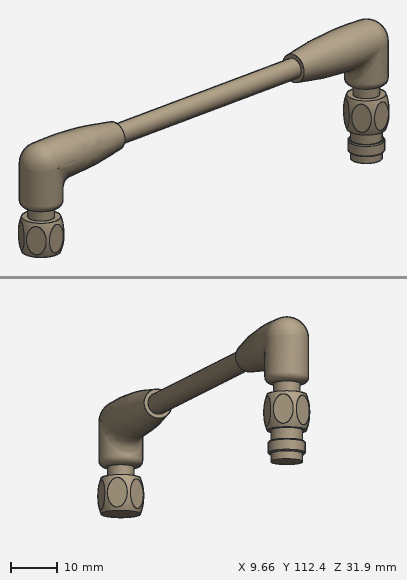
import cadquery as cq
import math


overall_length = 112.43
overall_height = 31.85

elbow_radius = 9.5 / 2
elbow_bottom_z = -9.85
elbow_bottom_fillet = 1.5
inner_corner_fillet = 2.8
sleeve_length = 23.0
sleeve_peak_radius = 9.66 / 2
sleeve_end_radius = 3.2
sleeve_peak_offset = 4.9
crease_clearance = 0.3

cable_radius = 4.6 / 2
neck_radius = 5.8 / 2

nut_top_z = -12.25
nut_height = 7.9
nut_across_flats = 9.0
nut_crown_radius = 5.0
nut_end_radius = 4.25

spigot_radius = 6.9 / 2
ring_radius = 8.0 / 2
ring_top_z = -22.6
ring_height = 2.7
ring_chamfer = 0.25

plug_y = overall_length / 2 - nut_crown_radius
nut_bottom_z = nut_top_z - nut_height
plug_bottom_z = sleeve_peak_radius - overall_height


def vertical_cylinder(radius, bottom_z, top_z):
    """Cylinder on the Z axis between two heights."""
    return cq.Workplane("XY").workplane(offset=bottom_z).circle(radius).extrude(top_z - bottom_z)


def sleeve():
    """Barrel-shaped strain relief along +Y, starting at the elbow centre."""
    taper_length = sleeve_length - sleeve_peak_offset
    taper_drop = sleeve_peak_radius - sleeve_end_radius
    crown = (taper_length**2 + taper_drop**2) / (2 * taper_drop)
    start_drop = crown - math.sqrt(crown**2 - sleeve_peak_offset**2)
    return (
        cq.Workplane("XY")
        .lineTo(sleeve_peak_radius - start_drop, 0)
        .threePointArc((sleeve_peak_radius, sleeve_peak_offset), (sleeve_end_radius, sleeve_length))
        .lineTo(0, sleeve_length)
        .close()
        .revolve(360, (0, 0, 0), (0, 1, 0))
    )


def elbow():
    """Vertical body, domed corner and sleeve, with the crease under the sleeve filleted."""
    body = vertical_cylinder(elbow_radius, elbow_bottom_z, 0)
    body = body.faces("<Z").edges().fillet(elbow_bottom_fillet)
    dome = cq.Workplane("XY").sphere(elbow_radius)
    crease = cq.selectors.BoxSelector((-elbow_radius, crease_clearance, -elbow_radius),
                                      (elbow_radius, elbow_radius, -crease_clearance))
    return body.union(dome).union(sleeve()).edges(crease).fillet(inner_corner_fillet)


def coupling_nut():
    """Crowned nut with flats facing +X and -X and at every 60 degrees between."""
    middle_z = nut_top_z - nut_height / 2
    crowned = (
        cq.Workplane("XZ")
        .moveTo(0, nut_bottom_z)
        .lineTo(nut_end_radius, nut_bottom_z)
        .threePointArc((nut_crown_radius, middle_z), (nut_end_radius, nut_top_z))
        .lineTo(0, nut_top_z)
        .close()
        .revolve(360, (0, 0, 0), (0, 1, 0))
    )
    across_corners = nut_across_flats / math.cos(math.pi / 6)
    hexagon = (
        cq.Workplane("XY")
        .workplane(offset=nut_bottom_z)
        .transformed(rotate=(0, 0, 90))
        .polygon(6, across_corners)
        .extrude(nut_height)
    )
    return crowned.intersect(hexagon)


def spigot():
    """Round spigot with a raised, chamfered ring."""
    ring = vertical_cylinder(ring_radius, ring_top_z - ring_height, ring_top_z)
    ring = ring.faces("<Z or >Z").edges().chamfer(ring_chamfer)
    return vertical_cylinder(spigot_radius, plug_bottom_z, nut_bottom_z).union(ring)


def short_plug():
    """Elbow, neck and coupling nut around the Z axis, cable side towards +Y."""
    neck = vertical_cylinder(neck_radius, nut_top_z, elbow_bottom_z)
    return elbow().union(neck).union(coupling_nut())


def cable():
    """Straight cable between the ends of the two sleeves."""
    half_length = plug_y - sleeve_length
    return cq.Workplane("XZ").circle(cable_radius).extrude(half_length, both=True)


near_plug = short_plug()
far_plug = near_plug.union(spigot()).rotate((0, 0, 0), (0, 0, 1), 180)
result = (
    cable()
    .union(near_plug.translate((0, -plug_y, 0)))
    .union(far_plug.translate((0, plug_y, 0)))
)